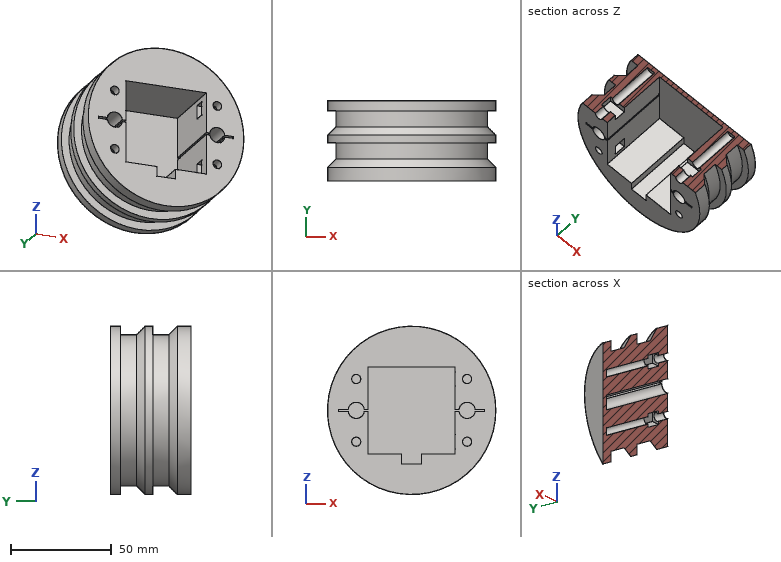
import cadquery as cq

outer_radius = 41.75
groove_depth = 4.2
total_width = 40.0
front_rim_width = 6.85
groove_flat_width = 7.9
middle_rim_width = 3.8

floor_thickness = 2.5
cavity_depth = total_width - floor_thickness
cavity_size = 43.2
key_width = 9.9
key_depth = 5.1

hole_offset_x = 27.5
rod_diameter = 8.0
screw_diameter = 4.5
screw_offset_z = 15.5
slit_end_x = 36.15
slit_height = 1.0

nut_pocket_setback = 6.0
nut_pocket_length = 6.2
nut_pocket_height = 7.0
nut_pocket_end_x = hole_offset_x + nut_pocket_height / 2

front_y = -total_width / 2
half_cavity = cavity_size / 2


def make_body():
    """Revolve a rim profile with two grooves, each with a 45 degree front flank."""
    groove_radius = outer_radius - groove_depth
    points = [(0, front_y), (outer_radius, front_y)]
    y = front_y
    for rim_width in (front_rim_width, middle_rim_width):
        rim_end = y + rim_width
        flank_end = rim_end + groove_depth
        y = flank_end + groove_flat_width
        points += [
            (outer_radius, rim_end),
            (groove_radius, flank_end),
            (groove_radius, y),
            (outer_radius, y),
        ]
    points += [(outer_radius, -front_y), (0, -front_y)]
    return cq.Workplane("XY").polyline(points).close().revolve(360, (0, 0, 0), (0, 1, 0))


def box_cut(x_min, x_max, z_min, z_max, setback=0, depth=cavity_depth):
    """Box between the given X and Z limits, starting behind the front face."""
    return (
        cq.Workplane("XY")
        .box(x_max - x_min, depth, z_max - z_min, centered=False)
        .translate((x_min, front_y + setback, z_min))
    )


def hole_cut(x, z, diameter):
    """Blind hole from the front face, as deep as the cavity."""
    front_plane = cq.Workplane("XZ", origin=(x, front_y, z))
    return front_plane.circle(diameter / 2).extrude(-cavity_depth)


def side_cuts():
    """Holes, slit and nut pockets on the +X side of the cavity."""
    cuts = hole_cut(hole_offset_x, 0, rod_diameter)
    cuts = cuts.union(box_cut(0, slit_end_x, -slit_height / 2, slit_height / 2))
    for z in (-screw_offset_z, screw_offset_z):
        nut_pocket = box_cut(
            0,
            nut_pocket_end_x,
            z - nut_pocket_height / 2,
            z + nut_pocket_height / 2,
            nut_pocket_setback,
            nut_pocket_length,
        )
        cuts = cuts.union(hole_cut(hole_offset_x, z, screw_diameter)).union(nut_pocket)
    return cuts


cavity = box_cut(-half_cavity, half_cavity, -half_cavity, half_cavity)
keyway = box_cut(-key_width / 2, key_width / 2, -half_cavity - key_depth, 0)
right_cuts = side_cuts()
left_cuts = right_cuts.mirror("YZ")

result = make_body().cut(cavity).cut(keyway).cut(right_cuts).cut(left_cuts)